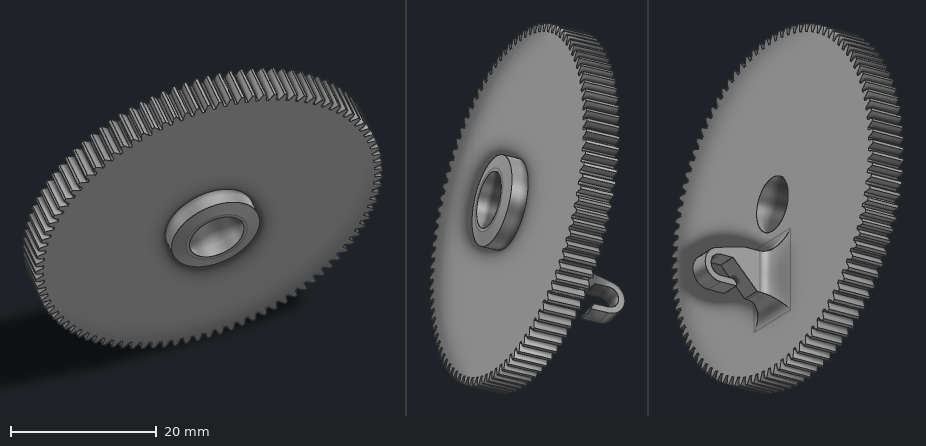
import cadquery as cq
import math

tooth_count = 96
tip_radius = 25.5
gear_width = 5.0
pressure_angle = math.radians(20)
root_clearance = 0.25
gear_module = 2 * tip_radius / (tooth_count + 2)
pitch_radius = gear_module * tooth_count / 2
root_radius = pitch_radius - (1 + root_clearance) * gear_module
base_radius = pitch_radius * math.cos(pressure_angle)

hub_radius = 6.45
hub_length = 2.9
hub_side_length = 2.45
hub_end_radius = 4.5
bore_radius = 4.0

hook_width = 3.1
flare_radius = 3.05
shank_top = -8.3
shank_height = 6.15
shank_bottom = shank_top - shank_height

curl_outer_radius = 2.55
curl_inner_radius = 1.6
curl_x = -9.45
curl_z = shank_bottom + curl_outer_radius
slope_start_x = -5.5
throat_x = -7.45
throat_foot_x = -3.5
lip_end_x = -6.9
lip_chamfer = 0.45


def involute(angle):
    return math.tan(angle) - angle


def tooth_half_angle(radius):
    """Half the angle a tooth spans at the given radius."""
    flank_angle = math.acos(base_radius / radius)
    return math.pi / (2 * tooth_count) + involute(pressure_angle) - involute(flank_angle)


def polar(radius, angle):
    return (radius * math.cos(angle), radius * math.sin(angle))


def make_gear():
    pitch_angle = 2 * math.pi / tooth_count
    root_half = tooth_half_angle(root_radius)
    pitch_half = tooth_half_angle(pitch_radius)
    tip_half = tooth_half_angle(tip_radius)
    outline = cq.Workplane("YZ").moveTo(*polar(root_radius, -root_half))
    for tooth in range(tooth_count):
        middle = tooth * pitch_angle
        outline = (
            outline
            .threePointArc(polar(pitch_radius, middle - pitch_half), polar(tip_radius, middle - tip_half))
            .threePointArc(polar(tip_radius, middle), polar(tip_radius, middle + tip_half))
            .threePointArc(polar(pitch_radius, middle + pitch_half), polar(root_radius, middle + root_half))
            .threePointArc(
                polar(root_radius, middle + pitch_angle / 2),
                polar(root_radius, middle + pitch_angle - root_half),
            )
        )
    return outline.close().extrude(gear_width)


def make_hub():
    """Round hub that ends in a shallow cone and a flat."""
    side_end = gear_width + hub_side_length
    hub_end = gear_width + hub_length
    return (
        cq.Workplane("XY")
        .lineTo(hub_end, 0)
        .lineTo(hub_end, hub_end_radius)
        .lineTo(side_end, hub_radius)
        .lineTo(0, hub_radius)
        .close()
        .revolve(360, (0, 0), (1, 0))
    )


def make_flare():
    """Concave flare on all four sides of the shank: the overlap of two crossed flared prisms."""
    quarter_offset = flare_radius * (1 - math.sqrt(0.5))

    def flared_prism(plane, low, high):
        return (
            cq.Workplane(plane)
            .moveTo(-flare_radius, low)
            .threePointArc((-quarter_offset, low - quarter_offset), (0, low - flare_radius))
            .lineTo(0, high + flare_radius)
            .threePointArc((-quarter_offset, high + quarter_offset), (-flare_radius, high))
            .close()
            .extrude(tip_radius, both=True)
        )

    side = flared_prism("XZ", shank_bottom, shank_top)
    plan = flared_prism("XY", -hook_width / 2, hook_width / 2)
    return side.intersect(plan)


def make_hook():
    run = slope_start_x - curl_x
    rise = shank_top - curl_z
    tangent_angle = math.atan2(rise, run) + math.acos(curl_outer_radius / math.hypot(run, rise))
    tangent_x = curl_x + curl_outer_radius * math.cos(tangent_angle)
    tangent_z = curl_z + curl_outer_radius * math.sin(tangent_angle)
    lip_top = curl_z - curl_inner_radius
    throat_top = curl_z + curl_inner_radius
    return (
        cq.Workplane("XZ")
        .moveTo(-flare_radius, shank_top)
        .lineTo(slope_start_x, shank_top)
        .lineTo(tangent_x, tangent_z)
        .threePointArc((curl_x - curl_outer_radius, curl_z), (curl_x, shank_bottom))
        .lineTo(lip_end_x, shank_bottom)
        .lineTo(lip_end_x, lip_top - lip_chamfer)
        .lineTo(lip_end_x - lip_chamfer, lip_top)
        .lineTo(curl_x, lip_top)
        .threePointArc((curl_x - curl_inner_radius, curl_z), (curl_x, throat_top))
        .lineTo(throat_x, throat_top)
        .lineTo(throat_foot_x, shank_bottom)
        .lineTo(-flare_radius, shank_bottom)
        .close()
        .extrude(hook_width / 2, both=True)
    )


bore = cq.Workplane("YZ").circle(bore_radius).extrude(gear_width + hub_length)
result = make_gear().union(make_hub()).cut(bore).union(make_flare()).union(make_hook())